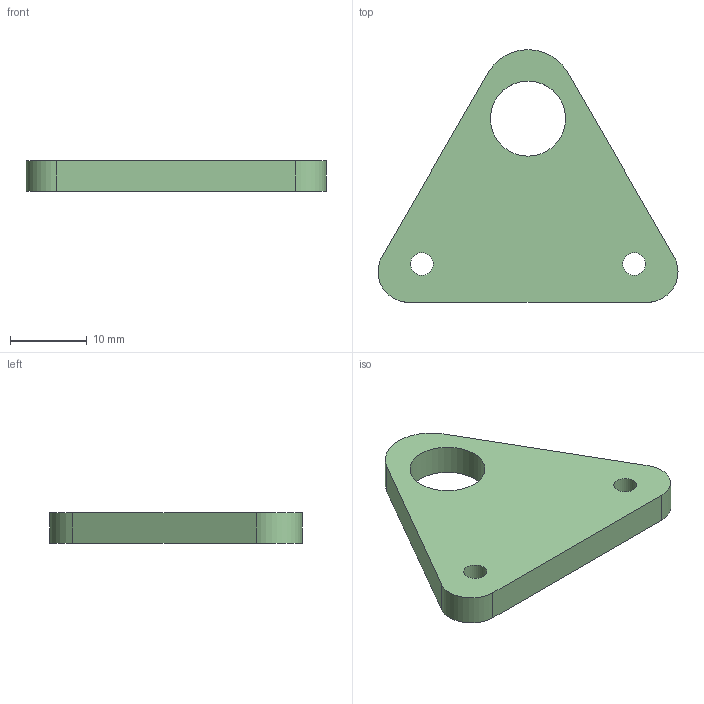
import cadquery as cq
import math

SIDE = 45.0
THICKNESS = 4.0
BASE_CORNER_RADIUS = 4.0
APEX_CORNER_RADIUS = 6.0
SMALL_HOLE_DIAMETER = 3.0
SMALL_HOLE_INSET = 5.0
LARGE_HOLE_DIAMETER = 9.8
LARGE_HOLE_INSET = 7.5

height = SIDE * math.sqrt(3) / 2
base_y = -height / 3
apex_y = base_y + height

half_corner_angle = math.radians(60 / 2)
small_hole_x = SIDE / 2 - SMALL_HOLE_INSET / math.tan(half_corner_angle)
small_hole_y = base_y + SMALL_HOLE_INSET
large_hole_y = apex_y - LARGE_HOLE_INSET / math.sin(half_corner_angle)


def rounded_plate():
    """Triangular plate with two equal base corners and a larger apex corner."""
    corners = [(-SIDE / 2, base_y), (SIDE / 2, base_y), (0, apex_y)]
    plate = cq.Workplane("XY").polyline(corners).close().extrude(THICKNESS)
    plate = plate.edges("|Z").edges("<Y").fillet(BASE_CORNER_RADIUS)
    return plate.edges("|Z").edges(">Y").fillet(APEX_CORNER_RADIUS)


def through_holes(diameter, centers):
    """Cylinders that cut holes through the full thickness."""
    return cq.Workplane("XY").pushPoints(centers).circle(diameter / 2).extrude(THICKNESS)


small_holes = through_holes(
    SMALL_HOLE_DIAMETER,
    [(-small_hole_x, small_hole_y), (small_hole_x, small_hole_y)],
)
large_hole = through_holes(LARGE_HOLE_DIAMETER, [(0, large_hole_y)])

result = rounded_plate().cut(small_holes).cut(large_hole)